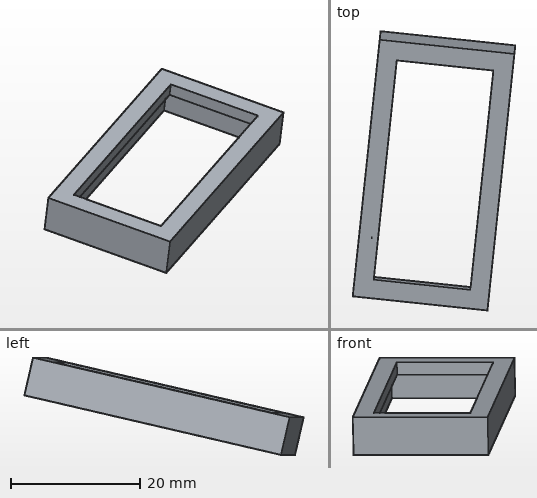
import cadquery as cq

frame_width = 21.0
frame_length = 41.0
frame_height = 6.0

border = 3.0
lip_thickness = 2.0
lip_overhang = 1.0

pitch_about_x = 13.0
yaw_about_z = -6.0

window_width = frame_width - 2 * border
window_length = frame_length - 2 * border
recess_width = window_width + 2 * lip_overhang
recess_length = window_length + 2 * lip_overhang
recess_depth = frame_height - lip_thickness


def block(width, length, height):
    """Rectangular block centred on the Z axis and standing on the XY plane."""
    return cq.Workplane("XY").box(width, length, height, centered=(True, True, False))


def make_frame():
    """Level frame: a through window, widened from below to leave a lip at the top."""
    body = block(frame_width, frame_length, frame_height)
    window = block(window_width, window_length, frame_height)
    recess = block(recess_width, recess_length, recess_depth)
    return body.cut(window).cut(recess)


def tilt(part):
    """Raise the +Y end, then swing the part about the vertical axis."""
    origin = (0, 0, 0)
    pitched = part.rotate(origin, (1, 0, 0), pitch_about_x)
    return pitched.rotate(origin, (0, 0, 1), yaw_about_z)


result = tilt(make_frame())